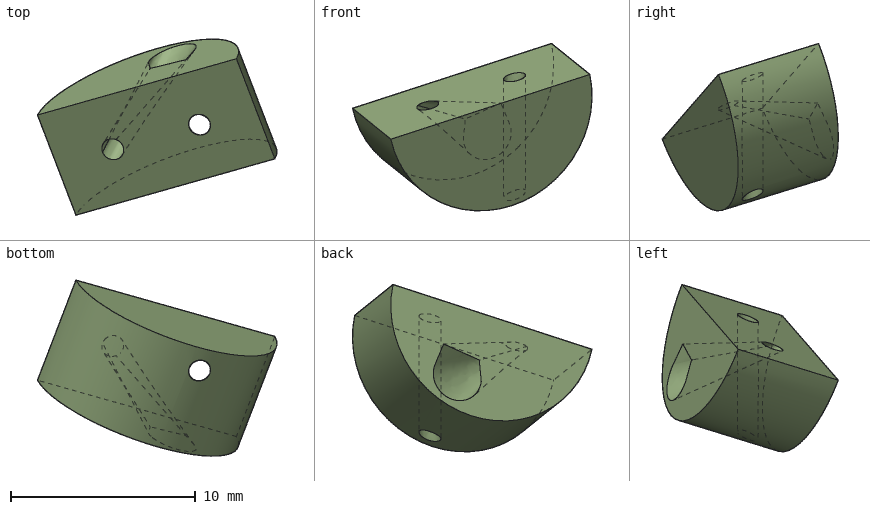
import cadquery as cq
import math

body_radius = 5.86
body_width = 6.05
back_y = body_width / 2

roll = 16.9
pitch = -17.4
yaw = 15.8

hole_diameter = 1.2
hole_offset = 2.55

mouth_top_left = (0.22, 2.63)
mouth_left = (-0.14, 3.79)
mouth_bottom = (1.1, 5.29)
mouth_right = (2.61, 3.7)
mouth_top_right = (2.37, 2.39)


def half_round_body():
    return (
        cq.Workplane("XZ", origin=(0, back_y, 0))
        .moveTo(-body_radius, 0)
        .threePointArc((0, -body_radius), (body_radius, 0))
        .close()
        .extrude(body_width)
    )


def top_circle(x):
    return cq.Wire.makeCircle(hole_diameter / 2, cq.Vector(x, 0, 0), cq.Vector(0, 0, 1))


def slanted_through_hole():
    """Hole whose axis becomes vertical once the part is tilted."""
    length = 2 * body_radius
    roll_angle = math.radians(roll)
    pitch_angle = math.radians(pitch)
    down = cq.Vector(
        math.sin(pitch_angle),
        -math.cos(pitch_angle) * math.sin(roll_angle),
        -math.cos(pitch_angle) * math.cos(roll_angle),
    )
    return cq.Solid.extrudeLinear(top_circle(hole_offset), [], down * length)


def flared_tunnel():
    """Tunnel widening from the flat face to the arched mouth in the back face."""
    def on_back(point):
        return cq.Vector(point[0], back_y, -point[1])

    mouth = cq.Wire.assembleEdges([
        cq.Edge.makeLine(on_back(mouth_top_left), on_back(mouth_left)),
        cq.Edge.makeThreePointArc(on_back(mouth_left), on_back(mouth_bottom), on_back(mouth_right)),
        cq.Edge.makeLine(on_back(mouth_right), on_back(mouth_top_right)),
        cq.Edge.makeLine(on_back(mouth_top_right), on_back(mouth_top_left)),
    ])
    return cq.Solid.makeLoft([top_circle(-hole_offset), mouth], True)


part = half_round_body().cut(slanted_through_hole()).cut(flared_tunnel())

result = (
    part.rotate((0, 0, 0), (1, 0, 0), roll)
    .rotate((0, 0, 0), (0, 1, 0), pitch)
    .rotate((0, 0, 0), (0, 0, 1), yaw)
)